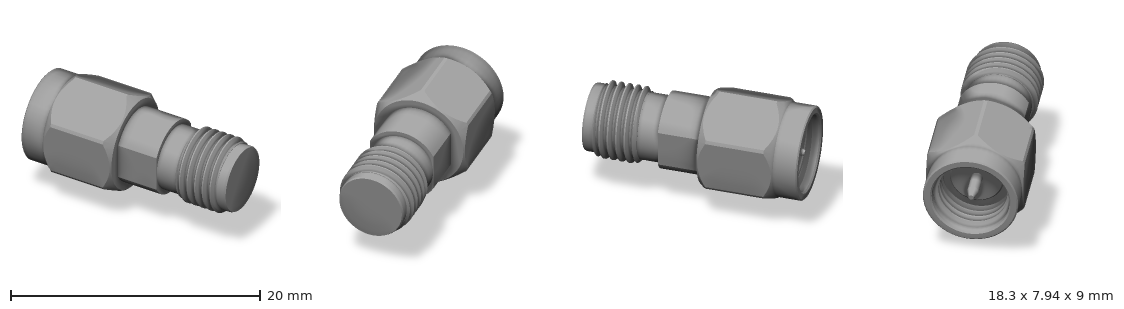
import cadquery as cq
import math

overall_length = 18.29
hex_start = 2.01
hex_end = 8.38
wrench_body_end = 11.93
thread_start = 13.68
thread_end = 17.47

collar_radius = 3.88
collar_chamfer = 0.11
hex_across_flats = 7.94
hex_across_corners = 9.0
hex_bevel_length = 0.75

wrench_body_radius = 3.18
wrench_across_flats = 5.56
neck_radius = 2.75
barrel_radius = 2.8
barrel_chamfer_length = 0.16
barrel_chamfer_depth = 0.07

five_turns_length = 3.53
thread_pitch = five_turns_length / 5
thread_root_flat = 0.15
thread_crest_flat = 0.11
thread_overlap = 0.05
end_margin_turns = 1
outer_root_radius = 2.76
outer_crest_radius = 3.16
outer_crest_x = 14.08
outer_thread_bevel = 0.38

bore_radius = 2.78
bore_depth = 3.48
entry_radius = 3.16
entry_depth = 0.75
entry_taper_end = 1.02
entry_chamfer = 0.13
inner_crest_radius = 3.15
inner_crest_x = 1.02

insulator_radius = 2.21
insulator_height = 0.37
insulator_chamfer = 0.13
pin_recess_radius = 0.59
pin_recess_depth = 0.11
pin_radius = 0.45
pin_tip_radius = 0.2
pin_tip_x = 0.4
pin_cone_end = 1.26


def revolve_about_x(outline):
    """Solid of revolution about X from (x, radius) points."""
    return cq.Workplane("XY").polyline(outline).close().revolve(360, (0, 0, 0), (1, 0, 0))


def cylinder(x_start, x_end, radius):
    """Solid cylinder along X."""
    return cq.Workplane("YZ").workplane(offset=x_start).circle(radius).extrude(x_end - x_start)


def helical_tooth(x_first, turns, root_radius, crest_radius):
    """Right-handed thread tooth around X, first centred at x_first on the +Z side."""
    half_root = (thread_pitch - thread_root_flat) / 2
    half_crest = thread_crest_flat / 2
    overlap_widening = thread_overlap * (half_root - half_crest) / (crest_radius - root_radius)
    half_base = half_root + overlap_widening
    base_radius = root_radius - thread_overlap
    helix = cq.Wire.makeHelix(thread_pitch, turns * thread_pitch, root_radius)
    tooth = (
        cq.Workplane("XZ")
        .polyline(
            [
                (base_radius, -half_base),
                (crest_radius, -half_crest),
                (crest_radius, half_crest),
                (base_radius, half_base),
            ]
        )
        .close()
        .sweep(cq.Workplane(obj=helix), isFrenet=True)
    )
    tooth = tooth.rotate((0, 0, 0), (0, 1, 0), 90).rotate((0, 0, 0), (1, 0, 0), 180)
    return tooth.translate((x_first, 0, 0))


def threaded_rod(x_start, x_end, crest_x, root_radius, crest_radius):
    """Threaded rod along X with a crest at crest_x on the +Z side."""
    turns_before = math.ceil((crest_x - x_start) / thread_pitch) + end_margin_turns
    turns_after = math.ceil((x_end - crest_x) / thread_pitch) + end_margin_turns
    tooth_start = crest_x - turns_before * thread_pitch
    tooth_end = crest_x + turns_after * thread_pitch
    tooth = helical_tooth(tooth_start, turns_before + turns_after, root_radius, crest_radius)
    core = cylinder(tooth_start - thread_pitch, tooth_end + thread_pitch, root_radius)
    return core.union(tooth).intersect(cylinder(x_start, x_end, crest_radius + thread_overlap))


def coupling_nut():
    """Round collar followed by a hexagon bevelled at both ends, not yet bored."""
    collar = cylinder(0, hex_end, collar_radius).faces("<X").chamfer(collar_chamfer)
    corner_radius = hex_across_corners / 2
    bevelled_blank = revolve_about_x(
        [
            (hex_start, 0),
            (hex_start, collar_radius),
            (hex_start + hex_bevel_length, corner_radius),
            (hex_end - hex_bevel_length, corner_radius),
            (hex_end, collar_radius),
            (hex_end, 0),
        ]
    )
    hexagon = (
        cq.Workplane("YZ")
        .workplane(offset=hex_start)
        .transformed(rotate=(0, 0, 90))
        .polygon(6, hex_across_flats / math.cos(math.pi / 6))
        .extrude(hex_end - hex_start)
    )
    return collar.union(hexagon.intersect(bevelled_blank))


def wrench_body():
    """Round body with two flats facing +Y and -Y."""
    flats = cq.Workplane("XY").box(
        overall_length, wrench_across_flats, 2 * wrench_body_radius, centered=(False, True, True)
    )
    return cylinder(hex_end, wrench_body_end, wrench_body_radius).intersect(flats)


def socket_end():
    """Neck, outer thread with bevelled ends, and plain barrel tip."""
    neck = cylinder(wrench_body_end, thread_start, neck_radius)
    thread_envelope = (
        cylinder(thread_start, thread_end, outer_crest_radius + thread_overlap)
        .faces("<X or >X")
        .chamfer(outer_thread_bevel)
    )
    thread = threaded_rod(
        thread_start, thread_end, outer_crest_x, outer_root_radius, outer_crest_radius
    ).intersect(thread_envelope)
    barrel = revolve_about_x(
        [
            (thread_end, 0),
            (thread_end, barrel_radius),
            (overall_length - barrel_chamfer_length, barrel_radius),
            (overall_length, barrel_radius - barrel_chamfer_depth),
            (overall_length, 0),
        ]
    )
    return neck.union(thread).union(barrel)


def nut_bore():
    """Smooth bore with a chamfered, tapered entry."""
    return revolve_about_x(
        [
            (0, 0),
            (0, entry_radius + entry_chamfer),
            (entry_chamfer, entry_radius),
            (entry_depth, entry_radius),
            (entry_taper_end, bore_radius),
            (bore_depth, bore_radius),
            (bore_depth, 0),
        ]
    )


def nut_thread():
    """Threaded rod whose removal leaves the thread of the nut."""
    return threaded_rod(entry_depth, bore_depth, inner_crest_x, bore_radius, inner_crest_radius)


def insulator():
    """Chamfered disc with a shallow recess around the pin."""
    front = bore_depth - insulator_height
    disc = cylinder(front, hex_end, insulator_radius).faces("<X").chamfer(insulator_chamfer)
    return disc.cut(cylinder(front, front + pin_recess_depth, pin_recess_radius))


def contact_pin():
    """Centre pin with a conical tip."""
    return revolve_about_x(
        [
            (pin_tip_x, 0),
            (pin_tip_x, pin_tip_radius),
            (pin_cone_end, pin_radius),
            (hex_end, pin_radius),
            (hex_end, 0),
        ]
    )


result = (
    coupling_nut()
    .union(wrench_body())
    .union(socket_end())
    .cut(nut_bore())
    .cut(nut_thread())
    .union(insulator())
    .union(contact_pin())
)